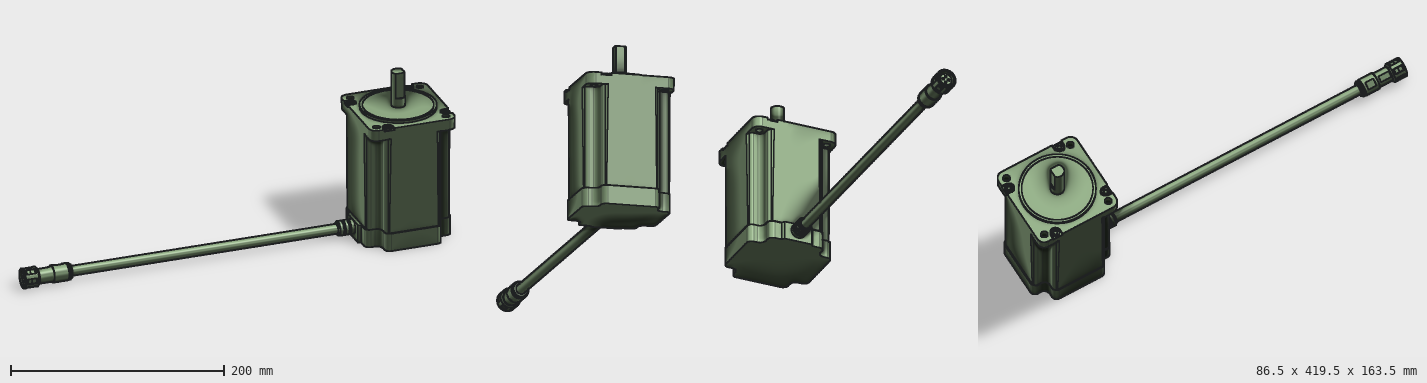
import cadquery as cq
import math

CAP_TOP = 18.0
FLANGE_BOTTOM = 115.8
FLANGE_TOP = 126.5
PILOT_TOP = 129.0
SHAFT_TOP = 163.5

FLANGE_HALF = 43.0
FLANGE_CORNER_RADIUS = 7.5
MOUNT_HOLE_OFFSET = 35.0
MOUNT_HOLE_DIAMETER = 6.7
PILOT_RADIUS = 36.3
PILOT_RECESS_RADIUS = 33.5
PILOT_RECESS_DEPTH = 0.5

SCREW_ALONG = 24.8
SCREW_OUT = 38.0
SCREW_POCKET_RADIUS = 5.0
SCREW_POCKET_DEPTH = 2.0
SCREW_HEAD_RADIUS = 3.8
SCREW_HEAD_HEIGHT = 1.5
SCREW_SOCKET_RADIUS = 2.0
SCREW_SOCKET_DEPTH = 1.3

BODY_HALF = 41.0
BODY_NOTCH = 28.3
BODY_NOTCH_FILLET = 5.0
BODY_EDGE_RADIUS = 3.0
PANEL_FOOT = 25.5
PANEL_EDGE = 23.0
PANEL_BOTTOM_FACE = 42.0
PANEL_DRAFT = math.degrees(math.atan((FLANGE_HALF - PANEL_BOTTOM_FACE) / (FLANGE_TOP - CAP_TOP)))

CAP_SHIFT = 0.5
CAP_HALF = FLANGE_HALF
CAP_NOTCH = 28.0
CAP_NOTCH_FILLET = 6.5
CAP_EDGE_RADIUS = 5.0
PLATE_HALF_WIDTH = 14.0
PLATE_FLANK = 2.0
PLATE_FACE = 45.7

SHAFT_RADIUS = 6.5
SHAFT_FLAT_DEPTH = 1.45
SHAFT_FLAT_LENGTH = 25.5

CABLE_X = CAP_SHIFT
CABLE_Z = 11.0
CABLE_RADIUS = 4.82
RIB_RADIUS = 7.0
NECK_RADIUS = 6.1
RIB_LENGTH = 3.8
NECK_LENGTH = 1.5
RIB_COUNT = 3
TIP_LENGTH = 1.5
TIP_RADIUS = 5.65

CONNECTOR_START = 329.0
TAIL_LENGTH = 1.3
TAIL_RADIUS = 7.0
RING_LENGTH = 1.3
RING_RADIUS = 8.0
COLLAR_START = 332.5
COLLAR_RADIUS = 8.5
BARREL_START = 347.5
BARREL_RADIUS = 7.35
NUT_START = 363.7
NUT_RADIUS = 9.5
NUT_CONE_LENGTH = 1.5
CONNECTOR_END = 419.5 - FLANGE_HALF
KEY_ANGLE = 60.0
COLLAR_FLAT_LENGTH = 9.0
COLLAR_FLAT_DEPTH = 1.0
BARREL_FLAT_LENGTH = 11.5
BARREL_FLAT_DEPTH = 0.65
GRIP_COUNT = 6
GRIP_LENGTH = 10.0
GRIP_WIDTH = 6.5
GRIP_DEPTH = 1.0
GRIP_SLOPE = 1.5
SOCKET_RADIUS = 8.0
SOCKET_DEPTH = 6.5
INSERT_RADIUS = 6.0
INSERT_SETBACK = 1.3
CONTACT_COUNT = 4
CONTACT_CIRCLE_RADIUS = 3.0
CONTACT_DIAMETER = 2.0
CONTACT_DEPTH = 4.0


def cylinder(radius, bottom, top):
    return cq.Workplane("XY").workplane(offset=bottom).circle(radius).extrude(top - bottom)


def square_block(half, bottom, top):
    return cq.Workplane("XY").workplane(offset=bottom).rect(2 * half, 2 * half).extrude(top - bottom)


def quarter_turns(shape):
    """The shape at its own place and at each further quarter turn about the motor axis."""
    return [shape.rotate((0, 0, 0), (0, 0, 1), 90 * turn) for turn in range(4)]


def notched_column(half, notch, notch_fillet, edge_radius, bottom, top):
    """Square column whose corners are notched out, with rounded inner and outer notch edges."""
    height = top - bottom
    base = cq.Workplane("XY").workplane(offset=bottom)
    arm_along_x = base.rect(2 * half, 2 * notch).extrude(height)
    arm_along_y = base.rect(2 * notch, 2 * half).extrude(height)
    column = arm_along_x.union(arm_along_y)
    middle = (bottom + top) / 2
    reach = 0.5
    for sx in (-1, 1):
        for sy in (-1, 1):
            for x, y, radius in (
                (sx * notch, sy * notch, notch_fillet),
                (sx * half, sy * notch, edge_radius),
                (sx * notch, sy * half, edge_radius),
            ):
                box = cq.selectors.BoxSelector(
                    (x - reach, y - reach, middle - reach), (x + reach, y + reach, middle + reach)
                )
                column = column.edges(box).fillet(radius)
    return column


def side_panel():
    """Panel on the -Y side whose face leans outwards all the way up to the flange face."""
    height = FLANGE_BOTTOM - CAP_TOP
    plan = (
        cq.Workplane("XY").workplane(offset=CAP_TOP)
        .polyline([(-PANEL_FOOT, 0), (-PANEL_FOOT, -BODY_HALF), (-PANEL_EDGE, -FLANGE_HALF),
                   (PANEL_EDGE, -FLANGE_HALF), (PANEL_FOOT, -BODY_HALF), (PANEL_FOOT, 0)])
        .close().extrude(height)
    )
    leaning_block = (
        cq.Workplane("YZ")
        .polyline([(0, CAP_TOP), (-PANEL_BOTTOM_FACE, CAP_TOP), (-FLANGE_HALF, FLANGE_TOP), (0, FLANGE_TOP)])
        .close().extrude(PANEL_FOOT, both=True)
    )
    return plan.intersect(leaning_block)


def housing_column():
    column = notched_column(
        BODY_HALF, BODY_NOTCH, BODY_NOTCH_FILLET, BODY_EDGE_RADIUS, CAP_TOP, FLANGE_BOTTOM
    )
    for panel in quarter_turns(side_panel()):
        column = column.union(panel)
    return column


def rear_cap():
    cap = notched_column(CAP_HALF, CAP_NOTCH, CAP_NOTCH_FILLET, CAP_EDGE_RADIUS, 0, CAP_TOP)
    foot = PLATE_HALF_WIDTH + PLATE_FLANK
    plate = (
        cq.Workplane("XY")
        .polyline([(-foot, 0), (-foot, -CAP_HALF), (-PLATE_HALF_WIDTH, -PLATE_FACE),
                   (PLATE_HALF_WIDTH, -PLATE_FACE), (foot, -CAP_HALF), (foot, 0)])
        .close().extrude(CAP_TOP)
    )
    return cap.union(plate).translate((CAP_SHIFT, 0, 0))


def screw_pocket():
    """Round-bottomed pocket for a screw head, open to the -Y side of the flange."""
    bottom = FLANGE_TOP - SCREW_POCKET_DEPTH
    pocket = cylinder(SCREW_POCKET_RADIUS, bottom, FLANGE_TOP)
    slot = (
        cq.Workplane("XY").workplane(offset=bottom)
        .center(0, -SCREW_POCKET_RADIUS)
        .rect(2 * SCREW_POCKET_RADIUS, 2 * SCREW_POCKET_RADIUS).extrude(SCREW_POCKET_DEPTH)
    )
    return pocket.union(slot).translate((-SCREW_ALONG, -SCREW_OUT, 0))


def screw_head():
    bottom = FLANGE_TOP - SCREW_POCKET_DEPTH
    head = cylinder(SCREW_HEAD_RADIUS, bottom, bottom + SCREW_HEAD_HEIGHT)
    head = head.faces(">Z").workplane().polygon(6, 2 * SCREW_SOCKET_RADIUS).cutBlind(-SCREW_SOCKET_DEPTH)
    return head.translate((-SCREW_ALONG, -SCREW_OUT, 0))


def flange():
    outline = cq.Sketch().rect(2 * FLANGE_HALF, 2 * FLANGE_HALF).vertices().fillet(FLANGE_CORNER_RADIUS)
    plate = (
        cq.Workplane("XY").workplane(offset=FLANGE_TOP)
        .placeSketch(outline).extrude(FLANGE_BOTTOM - FLANGE_TOP, taper=PANEL_DRAFT)
    )
    plate = (
        plate.faces(">Z").workplane()
        .rect(2 * MOUNT_HOLE_OFFSET, 2 * MOUNT_HOLE_OFFSET, forConstruction=True).vertices()
        .hole(MOUNT_HOLE_DIAMETER)
    )
    for pocket in quarter_turns(screw_pocket()):
        plate = plate.cut(pocket)
    for head in quarter_turns(screw_head()):
        plate = plate.union(head)
    pilot = cylinder(PILOT_RADIUS, FLANGE_TOP, PILOT_TOP)
    recess = cylinder(PILOT_RECESS_RADIUS, PILOT_TOP - PILOT_RECESS_DEPTH, PILOT_TOP)
    return plate.union(pilot.cut(recess))


def shaft():
    """Output shaft with two flats at right angles, facing +X and +Y."""
    bar = cylinder(SHAFT_RADIUS, FLANGE_TOP, SHAFT_TOP)
    flat_face = SHAFT_RADIUS - SHAFT_FLAT_DEPTH
    flat_bottom = SHAFT_TOP - SHAFT_FLAT_LENGTH
    waste = square_block(SHAFT_RADIUS, flat_bottom, SHAFT_TOP)
    bar = bar.cut(waste.translate((flat_face + SHAFT_RADIUS, 0, 0)))
    return bar.cut(waste.translate((0, flat_face + SHAFT_RADIUS, 0)))


def make_motor():
    return housing_column().union(rear_cap()).union(flange()).union(shaft())


def place_on_cable_axis(shape):
    """Move a shape built along +Z so that its Z runs towards -Y on the cable axis.

    The shape's +X stays +X and its +Y becomes +Z.
    """
    return shape.rotate((0, 0, 0), (1, 0, 0), 90).translate((CABLE_X, 0, CABLE_Z))


def stepped_round(steps):
    """Stack of cylinders given as (radius, start, end)."""
    body = cylinder(*steps[0])
    for step in steps[1:]:
        body = body.union(cylinder(*step))
    return body


def make_cable():
    steps = [(CABLE_RADIUS, PLATE_FACE, CONNECTOR_START)]
    pitch = RIB_LENGTH + NECK_LENGTH
    ribs_end = PLATE_FACE + RIB_COUNT * pitch - NECK_LENGTH
    steps.append((NECK_RADIUS, PLATE_FACE, ribs_end))
    for index in range(RIB_COUNT):
        rib_start = PLATE_FACE + index * pitch
        steps.append((RIB_RADIUS, rib_start, rib_start + RIB_LENGTH))
    steps.append((TIP_RADIUS, ribs_end, ribs_end + TIP_LENGTH))
    return place_on_cable_axis(stepped_round(steps))


def key_flat(radius, depth, stretch_start, stretch_end, length):
    """Block that cuts a flat into the middle of a round stretch, on its upper -X side."""
    block = cq.Workplane("XY").box(2 * radius, 2 * radius, length, centered=(False, True, False))
    start = (stretch_start + stretch_end - length) / 2
    return block.translate((radius - depth, 0, start)).rotate((0, 0, 0), (0, 0, 1), 180 - KEY_ANGLE)


def grip_pocket(angle):
    """Rectangular pocket with sloping walls in the side of the nut."""
    middle = (NUT_START + CONNECTOR_END) / 2
    pocket = (
        cq.Workplane("YZ", origin=(NUT_RADIUS - GRIP_DEPTH, 0, middle))
        .rect(GRIP_WIDTH - GRIP_SLOPE, GRIP_LENGTH - GRIP_SLOPE)
        .workplane(offset=GRIP_DEPTH)
        .rect(GRIP_WIDTH, GRIP_LENGTH)
        .loft()
    )
    return pocket.rotate((0, 0, 0), (0, 0, 1), angle)


def make_connector():
    tail_end = CONNECTOR_START + TAIL_LENGTH
    body = stepped_round([
        (TAIL_RADIUS, CONNECTOR_START, COLLAR_START),
        (RING_RADIUS, tail_end, tail_end + RING_LENGTH),
        (COLLAR_RADIUS, COLLAR_START, BARREL_START),
        (BARREL_RADIUS, BARREL_START, NUT_START),
    ])
    body = body.cut(
        key_flat(COLLAR_RADIUS, COLLAR_FLAT_DEPTH, COLLAR_START, BARREL_START, COLLAR_FLAT_LENGTH)
    )
    body = body.cut(
        key_flat(BARREL_RADIUS, BARREL_FLAT_DEPTH, BARREL_START, NUT_START, BARREL_FLAT_LENGTH)
    )

    nut = cylinder(NUT_RADIUS, NUT_START - NUT_CONE_LENGTH, CONNECTOR_END)
    nut = nut.faces("<Z").chamfer(NUT_CONE_LENGTH)
    for index in range(GRIP_COUNT):
        nut = nut.cut(grip_pocket(index * 360 / GRIP_COUNT))
    nut = nut.cut(cylinder(SOCKET_RADIUS, CONNECTOR_END - SOCKET_DEPTH, CONNECTOR_END))
    insert = cylinder(INSERT_RADIUS, CONNECTOR_END - SOCKET_DEPTH, CONNECTOR_END - INSERT_SETBACK)
    insert = (
        insert.faces(">Z").workplane()
        .polarArray(CONTACT_CIRCLE_RADIUS, 0, 360, CONTACT_COUNT).hole(CONTACT_DIAMETER, CONTACT_DEPTH)
    )
    return place_on_cable_axis(body.union(nut).union(insert))


motor = make_motor()
cable = make_cable()
connector = make_connector()

result = cq.Compound.makeCompound([motor.val(), cable.val(), connector.val()])